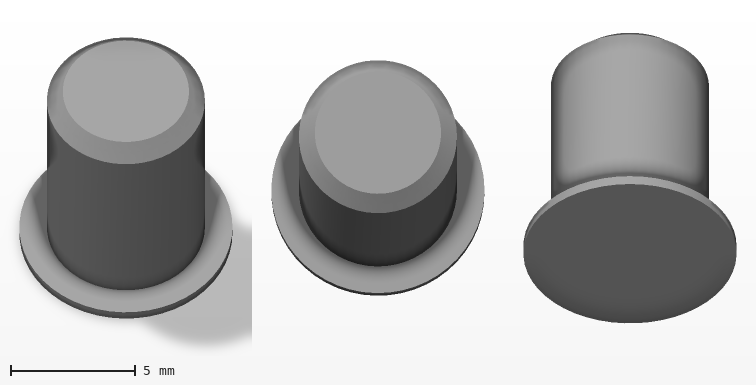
import cadquery as cq

total_height = 9.53
flange_diameter = 8.56
flange_thickness = 0.42
pin_diameter = 6.35
tip_chamfer = 0.64

flange = cq.Workplane("XY").circle(flange_diameter / 2).extrude(flange_thickness)

pin = (
    cq.Workplane("XY")
    .circle(pin_diameter / 2)
    .extrude(total_height)
    .faces(">Z")
    .chamfer(tip_chamfer)
)

result = flange.union(pin)